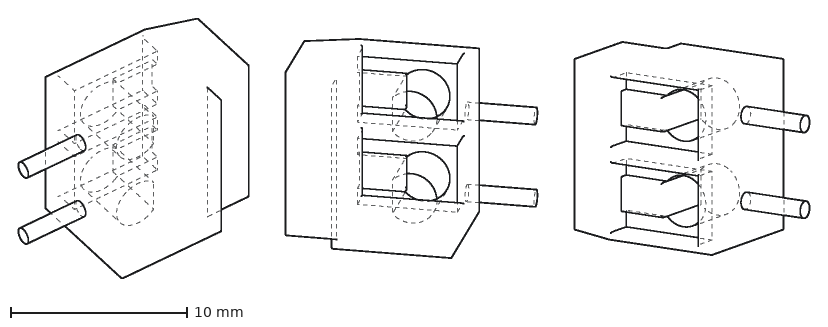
import cadquery as cq
import math


LENGTH_X = 7.5
LENGTH_Y = 10.0
HEIGHT = 10.0
SHOULDER_Y = 7.0
SLOPE_RUN_X = 1.0
STEP_X = 6.0
EDGE_RADIUS = 0.1

POLE_COUNT = 2
PITCH = HEIGHT / POLE_COUNT
POLE_HEIGHTS = [PITCH * (pole + 0.5) for pole in range(POLE_COUNT)]

WINDOW_FRONT_Y = 1.0
WINDOW_BACK_Y = 6.79
WINDOW_HEIGHT = 4.0
WINDOW_DEPTH = 1.5

CLAMP_FRONT_Y = 4.0
CLAMP_RISE = 0.5
CLAMP_HEIGHT = 2.05

WIRE_HOLE_RADIUS = 1.5
WIRE_HOLE_DEPTH = 3.5
CHORD_HALF = CLAMP_HEIGHT / 2
CHORD_OFFSET = math.sqrt(WIRE_HOLE_RADIUS**2 - CHORD_HALF**2)
WIRE_HOLE_Y = CLAMP_FRONT_Y - CHORD_OFFSET

PIN_DIAMETER = 1.0
OVERALL_LENGTH = 14.0
PIN_LENGTH = OVERALL_LENGTH - LENGTH_Y
PIN_X = 3.5


def make_housing_shell():
    """Extrude the stepped outline along Z and round every outer edge."""
    outline = [
        (0, 0),
        (LENGTH_X, 0),
        (LENGTH_X, SHOULDER_Y),
        (STEP_X, SHOULDER_Y),
        (STEP_X, LENGTH_Y),
        (SLOPE_RUN_X, LENGTH_Y),
        (0, SHOULDER_Y),
    ]
    block = cq.Workplane("XY").polyline(outline).close().extrude(HEIGHT)
    return block.edges().fillet(EDGE_RADIUS)


def box_between(start, end):
    """Make a box from its lowest corner to its highest corner."""
    size = [high - low for low, high in zip(start, end)]
    return cq.Workplane("XY").box(*size, centered=False).translate(start)


def make_clamp(center_z):
    """Make the clamp block, rounded on the three free edges of its -X face."""
    clamp = box_between(
        (WINDOW_DEPTH - CLAMP_RISE, CLAMP_FRONT_Y, center_z - CLAMP_HEIGHT / 2),
        (WINDOW_DEPTH, WINDOW_BACK_Y, center_z + CLAMP_HEIGHT / 2),
    )
    return clamp.faces("<X").edges("|Y or <Y").fillet(EDGE_RADIUS)


def make_window(center_z):
    """Make the window cavity, with the clamp block left standing in it."""
    cavity = box_between(
        (0, WINDOW_FRONT_Y, center_z - WINDOW_HEIGHT / 2),
        (WINDOW_DEPTH, WINDOW_BACK_Y, center_z + WINDOW_HEIGHT / 2),
    )
    return cavity.cut(make_clamp(center_z))


def make_wire_hole(center_z):
    """Make the blind wire hole: a circle with a flat on its +Y side."""
    return (
        cq.Workplane("YZ", origin=(WINDOW_DEPTH, WIRE_HOLE_Y, center_z))
        .moveTo(CHORD_OFFSET, -CHORD_HALF)
        .threePointArc((-WIRE_HOLE_RADIUS, 0), (CHORD_OFFSET, CHORD_HALF))
        .close()
        .extrude(WIRE_HOLE_DEPTH)
    )


def make_housing():
    """Cut the wire entries into the shell and round the window rims."""
    housing = make_housing_shell()
    for center_z in POLE_HEIGHTS:
        housing = housing.cut(make_window(center_z))
    rim_edges = [edge for rim in housing.faces("<X").val().innerWires() for edge in rim.Edges()]
    housing = housing.newObject(rim_edges).fillet(EDGE_RADIUS)
    for center_z in POLE_HEIGHTS:
        housing = housing.cut(make_wire_hole(center_z))
    return housing.solids()


def make_pin(center_z):
    """Make one solder pin, standing out from the Y = 0 face of the housing."""
    return (
        cq.Workplane("XZ", origin=(PIN_X, 0, center_z))
        .circle(PIN_DIAMETER / 2)
        .extrude(PIN_LENGTH)
    )


housing = make_housing()
pins = [make_pin(center_z).val() for center_z in POLE_HEIGHTS]

result = cq.Compound.makeCompound([housing.val(), *pins])